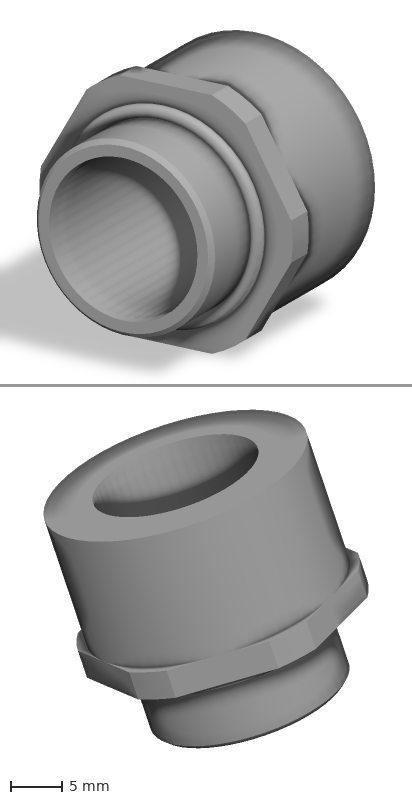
import cadquery as cq

corner_diameter = 28.95
across_flats = 27.0
socket_length = 14.0
flange_thickness = 3.0
spigot_length = 8.0
spigot_diameter = 20.4
spigot_chamfer = 0.5
bore_diameter = 16.97
ring_thickness = 1.4

flange_back = flange_thickness
socket_end = flange_back + socket_length
total_length = spigot_length + socket_end

half_hexagon_step = 360 / 6 / 2
ring_section_radius = ring_thickness / 2
ring_centre_radius = spigot_diameter / 2 + ring_section_radius


def cylinder(diameter, start, length):
    """Cylinder on the Y axis, running from start towards +Y."""
    plane = cq.Workplane("XZ", origin=(0, start, 0))
    return plane.circle(diameter / 2).extrude(-length)


def hex_flange():
    """Hexagon with flats facing +Z and -Z and its corners turned round."""
    hexagon = (
        cq.Workplane("XZ")
        .polygon(6, across_flats, circumscribed=True)
        .extrude(-flange_thickness)
        .rotate((0, 0, 0), (0, 1, 0), half_hexagon_step)
    )
    return hexagon.intersect(cylinder(corner_diameter, 0, flange_thickness))


def spigot():
    """Narrow end with a chamfered outer rim."""
    body = cylinder(spigot_diameter, -spigot_length, spigot_length)
    return body.faces("<Y").chamfer(spigot_chamfer)


def sealing_ring():
    """Round-section ring seated against the flange and the spigot."""
    ring = cq.Workplane("XY").add(
        cq.Solid.makeTorus(
            ring_centre_radius,
            ring_section_radius,
            cq.Vector(0, -ring_section_radius, 0),
            cq.Vector(0, 1, 0),
        )
    )
    seat = cylinder(2 * ring_centre_radius, -ring_section_radius, ring_section_radius)
    return seat.union(ring)


socket = cylinder(across_flats, flange_back, socket_length)
bore = cylinder(bore_diameter, -spigot_length, total_length)

result = hex_flange().union(socket).union(spigot()).union(sealing_ring()).cut(bore)